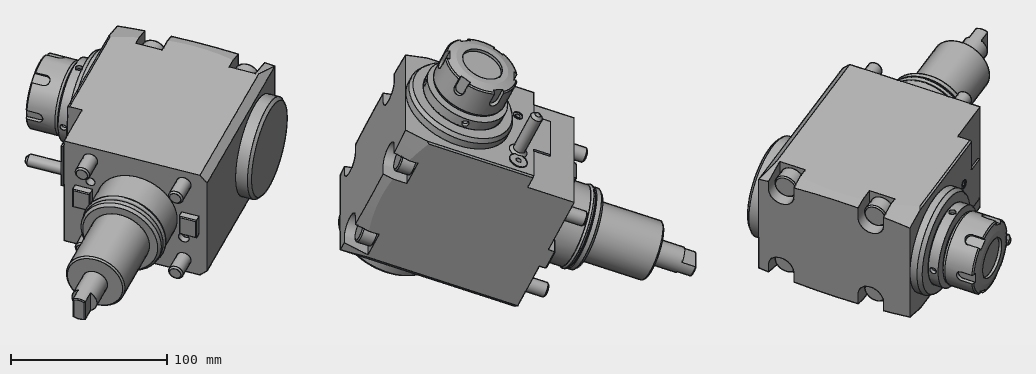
import cadquery as cq
import math


drill_point_angle = 118.0

block_height = 85.0
half_height = block_height / 2
back_y = 121.3
left_x = -60.0
right_x = 48.0
step_x = -50.0
step_y = 32.2
right_chamfer = 5.0
left_chamfer_depth = 1.4
left_chamfer_drop = 0.7

tab_end_y = 20.5
tab_top_z = 18.0
tab_bottom_z = -15.3
tab_thickness = left_chamfer_depth

swing_radius = 451.0
swing_center_x = -6.8
swing_start_y = 115.5
swing_angle = 15.0

spindle_y = 85.0

flange_radius = 36.0
flange_face_x = -67.9
flange_chamfer_length = 3.0
flange_chamfer_drop = 1.5

cover_radius = 34.0
cover_face_x = 58.2
cover_chamfer = 2.0

collar_radius = 27.5
collar_length = 30.2
collar_chamfer = 1.8
groove_start = 21.2
groove_end = 25.3
groove_radius = 26.0
seal_section_radius = 1.5
seal_outer_radius = 28.5
shank_radius = 20.0
shank_end = 75.3
shank_chamfer = 1.1
drive_radius = 8.5
drive_end = 94.3
tang_width = 8.3
tang_end = 104.2
tang_chamfer = 0.7

screw_spacing = 64.0
screw_radius = 5.0
screw_length = 15.3
screw_chamfer = 1.1
screw_head_radius = 8.1
screw_head_height = 10.0
screw_head_chamfer = 1.0
head_slot_width = 18.0
head_slot_depth = 16.5

key_offset_x = 36.5
key_short_side = 12.0
key_long_side = 14.9
key_height = 5.0
key_chamfer = 0.7

drilled_x = -32.0
drilled_z = 13.5
drilled_radius = 3.2
drilled_depth = 9.0
flat_hole_x = 32.0
flat_hole_z = -14.0
flat_hole_radius = 3.5
flat_hole_depth = 4.5

fitting_y = 43.0
nozzle_z = -21.9
nozzle_radius = 4.0
nozzle_tip_x = -92.5
nozzle_chamfer = 2.0
nozzle_seat_radius = 6.0
nozzle_seat_height = 1.8
clamp_z = -32.0
clamp_radius = 6.0
clamp_height = 0.7
clamp_socket_radius = 1.8
clamp_socket_depth = 3.4
plug_z = 14.0
plug_recess_radius = 3.2
plug_recess_depth = 0.7
plug_socket_radius = 1.5
plug_socket_depth = 3.4

nut_face_x = -100.8
nut_radius = 25.0
nut_face_radius = 18.0
nut_cone_length = 1.4
nut_cone_radius = 24.1
nut_edge_length = 2.3
nut_rim_x = -79.4
nut_rim_radius = 24.4
nut_end_x = -77.8
bore_radius = 13.8
bore_depth = 2.0
neck_radius = 20.7
ring_start_x = -76.0
ring_end_x = -68.5
ring_radius = 28.0
ring_chamfer = 0.5
seat_radius = 26.0

nut_slot_count = 6
nut_slot_width = 7.2
nut_slot_end_x = -87.7
nut_slot_floor_radius = 22.3

ring_hole_count = 4
ring_hole_x = -72.4
ring_hole_radius = 2.3
ring_hole_depth = 2.7


def box(x_range, y_range, z_range):
    """Box between pairs of limits along each axis."""
    (x0, x1), (y0, y1), (z0, z1) = x_range, y_range, z_range
    return cq.Workplane("XY").box(x1 - x0, y1 - y0, z1 - z0, centered=False).translate((x0, y0, z0))


def rod_x(y, z, radius, x_start, x_end):
    """Cylinder along X."""
    return cq.Workplane("YZ", origin=(x_start, y, z)).circle(radius).extrude(x_end - x_start)


def rod_y(x, z, radius, y_start, y_end):
    """Cylinder along Y."""
    solid = cq.Solid.makeCylinder(radius, y_end - y_start, cq.Vector(x, y_start, z), cq.Vector(0, 1, 0))
    return cq.Workplane("XY").add(solid)


def drill_y(x, z, radius, y_start, depth):
    """Drill shape entering along +Y: a cylinder of the given depth, then a conical point."""
    y_end = y_start + depth
    point_length = radius / math.tan(math.radians(drill_point_angle / 2))
    point = cq.Solid.makeCone(radius, 0, point_length, cq.Vector(x, y_end, z), cq.Vector(0, 1, 0))
    return rod_y(x, z, radius, y_start, y_end).union(cq.Workplane("XY").add(point))


def turned_x(profile, y, z):
    """Solid of revolution about an X-parallel axis from (x, radius) points."""
    return (
        cq.Workplane("XY", origin=(0, y, z))
        .polyline(profile)
        .close()
        .revolve(360, (0, 0, 0), (1, 0, 0))
    )


def turned_y(profile):
    """Solid of revolution about the Y axis from (radius, y) points."""
    return cq.Workplane("XY").polyline(profile).close().revolve(360, (0, 0, 0), (0, 1, 0))


def swing_cone():
    """Turret swing envelope whose top line lies in the top face of the block."""
    slope = math.tan(math.radians(swing_angle))
    front_radius = swing_radius + slope * swing_start_y
    back_radius = swing_radius - slope * (back_y - swing_start_y)
    cone = cq.Solid.makeCone(
        front_radius,
        back_radius,
        back_y,
        cq.Vector(swing_center_x, 0, half_height - swing_radius),
        cq.Vector(0, 1, 0),
    )
    return cq.Workplane("XY").add(cone)


def make_block():
    outline = [
        (step_x, 0),
        (right_x, 0),
        (right_x, back_y),
        (left_x, back_y),
        (left_x, step_y),
        (step_x, step_y),
    ]
    block = (
        cq.Workplane("XY", origin=(0, 0, -half_height))
        .polyline(outline)
        .close()
        .extrude(block_height)
    )
    block = block.edges("|Y and >X").chamfer(right_chamfer)

    for side in (1, -1):
        edge_strip = (
            cq.Workplane("XZ")
            .moveTo(left_x, side * half_height)
            .lineTo(left_x + left_chamfer_depth, side * half_height)
            .lineTo(left_x, side * (half_height - left_chamfer_drop))
            .close()
            .extrude(-back_y)
        )
        block = block.cut(edge_strip)

    top_cone = swing_cone()
    block = block.intersect(top_cone).intersect(top_cone.mirror("XY"))

    tab = box((left_x, left_x + tab_thickness), (tab_end_y, step_y), (tab_bottom_z, tab_top_z))
    return block.union(tab)


def make_flange():
    profile = [
        (flange_face_x, 0),
        (flange_face_x, flange_radius - flange_chamfer_drop),
        (flange_face_x + flange_chamfer_length, flange_radius),
        (left_x, flange_radius),
        (left_x, 0),
    ]
    return turned_x(profile, spindle_y, 0)


def make_cover():
    cover = rod_x(spindle_y, 0, cover_radius, right_x, cover_face_x)
    return cover.faces(">X").edges().chamfer(cover_chamfer)


def make_shank():
    profile = [
        (0, 0),
        (collar_radius, 0),
        (collar_radius, -groove_start),
        (groove_radius, -groove_start),
        (groove_radius, -groove_end),
        (collar_radius, -groove_end),
        (collar_radius, collar_chamfer - collar_length),
        (collar_radius - collar_chamfer, -collar_length),
        (shank_radius, -collar_length),
        (shank_radius, shank_chamfer - shank_end),
        (shank_radius - shank_chamfer, -shank_end),
        (0, -shank_end),
    ]
    seal_y = -groove_start - seal_section_radius
    seal_torus = cq.Solid.makeTorus(
        seal_outer_radius - seal_section_radius,
        seal_section_radius,
        cq.Vector(0, seal_y, 0),
        cq.Vector(0, 1, 0),
    )
    seal = cq.Workplane("XY").add(seal_torus)
    drive = rod_y(0, 0, drive_radius, -drive_end, -shank_end)
    tang_blank = rod_y(0, 0, drive_radius, -tang_end, -drive_end)
    half_tang = tang_width / 2
    tang_limits = box((-half_tang, half_tang), (-tang_end, -drive_end), (-drive_radius, drive_radius))
    tang = tang_blank.intersect(tang_limits).faces("<Y").edges().chamfer(tang_chamfer)
    return turned_y(profile).union(seal).union(drive).union(tang)


def add_screws(body):
    """Four screws: heads in open slots in the back edges, threaded ends out of the mounting face."""
    slot_floor_y = back_y - head_slot_depth
    half_slot = head_slot_width / 2
    for x in (-screw_spacing / 2, screw_spacing / 2):
        for side in (1, -1):
            z = side * screw_spacing / 2
            z_range = sorted((z, side * block_height))
            slot = box((x - half_slot, x + half_slot), (slot_floor_y, back_y), z_range)
            slot = slot.union(rod_y(x, z, half_slot, slot_floor_y, back_y))
            head = rod_y(x, z, screw_head_radius, slot_floor_y, slot_floor_y + screw_head_height)
            head = head.faces(">Y").edges().chamfer(screw_head_chamfer)
            end = rod_y(x, z, screw_radius, -screw_length, 0).faces("<Y").edges().chamfer(screw_chamfer)
            body = body.cut(slot).union(head).union(end)
    return body


def make_key(x, z, width, height):
    key = box((x - width / 2, x + width / 2), (-key_height, 0), (z - height / 2, z + height / 2))
    return key.faces("<Y").edges().chamfer(key_chamfer)


def add_keys(body):
    for x in (-key_offset_x, key_offset_x):
        body = body.union(make_key(x, 0, key_short_side, key_long_side))
    bottom_key_z = key_short_side / 2 - half_height
    return body.union(make_key(0, bottom_key_z, key_long_side, key_short_side))


def cut_face_holes(body):
    """Drilled hole with a conical end and a flat-bottomed hole, both in the mounting face."""
    body = body.cut(drill_y(drilled_x, drilled_z, drilled_radius, 0, drilled_depth))
    return body.cut(rod_y(flat_hole_x, flat_hole_z, flat_hole_radius, 0, flat_hole_depth))


def add_coolant_fittings(body):
    """Nozzle with its seat, clamp screw below it, and socket plug above it."""
    nozzle_profile = [
        (nozzle_tip_x, 0),
        (nozzle_tip_x, nozzle_radius - nozzle_chamfer),
        (nozzle_tip_x + nozzle_chamfer, nozzle_radius),
        (left_x - nozzle_seat_height, nozzle_radius),
        (left_x, nozzle_seat_radius),
        (left_x, 0),
    ]
    body = body.union(turned_x(nozzle_profile, fitting_y, nozzle_z))

    clamp_face_x = left_x - clamp_height
    body = body.union(rod_x(fitting_y, clamp_z, clamp_radius, clamp_face_x, left_x))
    socket_end_x = clamp_face_x + clamp_socket_depth
    body = body.cut(rod_x(fitting_y, clamp_z, clamp_socket_radius, clamp_face_x, socket_end_x))

    body = body.cut(rod_x(fitting_y, plug_z, plug_recess_radius, left_x, left_x + plug_recess_depth))
    return body.cut(rod_x(fitting_y, plug_z, plug_socket_radius, left_x, left_x + plug_socket_depth))


def make_housing():
    housing = make_block().union(make_flange()).union(make_cover()).union(make_shank())
    housing = add_screws(housing)
    housing = add_keys(housing)
    housing = cut_face_holes(housing)
    return add_coolant_fittings(housing)


def around_spindle(tool, count):
    """Copies of a cutting tool spread evenly around the spindle axis."""
    axis_start = (0, spindle_y, 0)
    axis_end = (1, spindle_y, 0)
    return [tool.rotate(axis_start, axis_end, i * 360 / count) for i in range(count)]


def nut_slot():
    """Wrench slot with a rounded end, open to the front of the nut, on its -Y side."""
    half_width = nut_slot_width / 2
    depth = nut_radius - nut_slot_floor_radius
    return (
        cq.Workplane("XZ", origin=(0, spindle_y - nut_slot_floor_radius, 0))
        .moveTo(nut_face_x, -half_width)
        .lineTo(nut_slot_end_x - half_width, -half_width)
        .threePointArc((nut_slot_end_x, 0), (nut_slot_end_x - half_width, half_width))
        .lineTo(nut_face_x, half_width)
        .close()
        .extrude(depth)
    )


def make_spindle():
    profile = [
        (nut_face_x + bore_depth, 0),
        (nut_face_x + bore_depth, bore_radius),
        (nut_face_x, bore_radius),
        (nut_face_x, nut_face_radius),
        (nut_face_x + nut_cone_length, nut_cone_radius),
        (nut_face_x + nut_edge_length, nut_radius),
        (nut_rim_x, nut_radius),
        (nut_end_x, nut_rim_radius),
        (nut_end_x, neck_radius),
        (ring_start_x, neck_radius),
        (ring_start_x, ring_radius),
        (ring_end_x - ring_chamfer, ring_radius),
        (ring_end_x, ring_radius - ring_chamfer),
        (ring_end_x, seat_radius),
        (flange_face_x, seat_radius),
        (flange_face_x, 0),
    ]
    spindle = turned_x(profile, spindle_y, 0)
    for slot in around_spindle(nut_slot(), nut_slot_count):
        spindle = spindle.cut(slot)

    ring_side_y = spindle_y - ring_radius
    ring_hole = drill_y(ring_hole_x, 0, ring_hole_radius, ring_side_y, ring_hole_depth)
    for hole in around_spindle(ring_hole, ring_hole_count):
        spindle = spindle.cut(hole)
    return spindle


housing = make_housing()
spindle = make_spindle()

result = cq.Compound.makeCompound([housing.solids().val(), spindle.solids().val()])